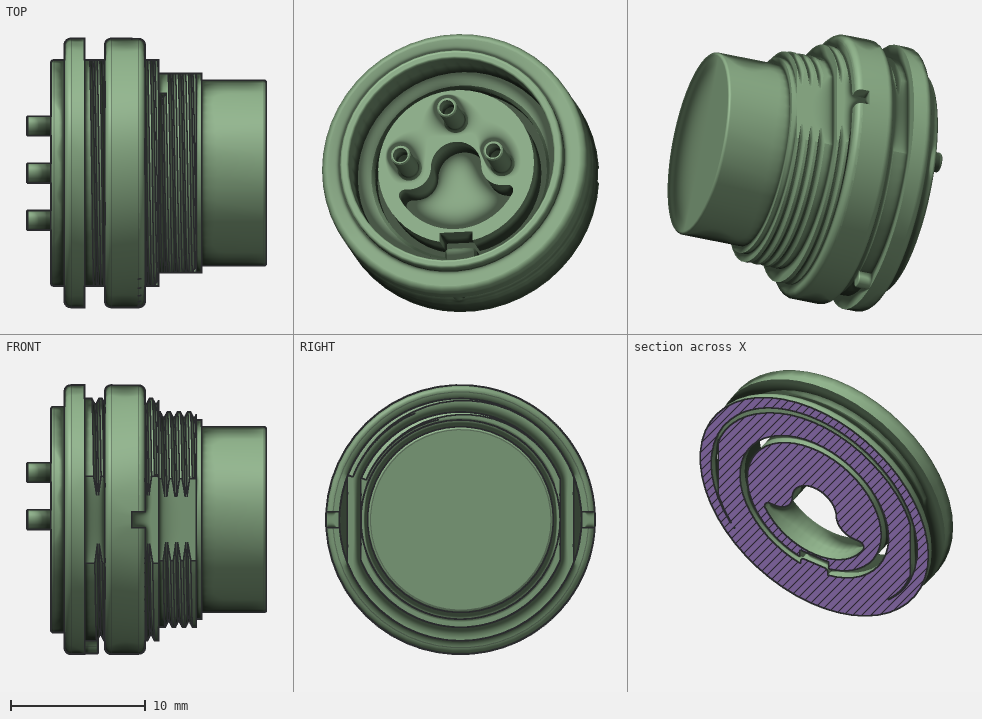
import cadquery as cq
import math

REAR_FACE = 1.8
FLANGE_BACK = 2.8
FLANGE_FRONT = 4.3
NUT_BACK = 5.8
NUT_FRONT = 8.8
BIG_THREAD_END = 9.8
SMALL_THREAD_END = 12.6
COLLAR_END = 13.0
FRONT_FACE = 17.8

REAR_RING_DIA = 16.8
FLANGE_DIA = 20.0
BIG_THREAD_DIA = 18.0
SMALL_THREAD_DIA = 16.0
COLLAR_DIA = 14.8
PLUG_DIA = 13.8
FLANGE_ROUND = 0.5
RIM_ROUND = 0.2
BIG_FLAT_WIDTH = REAR_RING_DIA
SMALL_FLAT_WIDTH = COLLAR_DIA

PITCH = 0.75
THREAD_DEPTH = 0.4
GROOVE_MOUTH = 0.55
GROOVE_ROOT = 0.15
GROOVE_OVERCUT = 0.1
THREAD_RUN_OUT = 1.2
BIG_GROOVE_START = 4.92
BIG_GROOVE_START_ANGLE = 0.0
BIG_GROOVE_TURNS = 6.44
SMALL_GROOVE_START = 10.08
SMALL_GROOVE_START_ANGLE = 42.0
SMALL_GROOVE_TURNS = 3.32

SLOT_WIDTH = 1.2
SLOT_LENGTH = 1.0
LUG_WIDTH = 1.08
LUG_LENGTH = 1.0
LUG_TIP = FLANGE_DIA / 2 - 0.05
LUG_ROUND = 0.1

BORE_DIA = 15.5
BORE_FLOOR = 5.75
BORE_ROUND = 0.15
GAP_DIA = 12.95
GAP_FLOOR = 7.0
GAP_CHAMFER = 0.25

INSERT_DIA = 11.75
INSERT_FACE = 3.9
NOTCH_WIDTH = 2.48
NOTCH_TOP = 5.05
POCKET_FLOOR = 7.0
POCKET_RADIUS = 4.82
POCKET_CORNER = 0.45

KEY_WIDTH = 2.4
KEY_TOP = 5.75
KEY_ROUND = 0.35
KEY_CHAMFER = 0.18

PIN_DIA = 1.48
PIN_CIRCLE_RADIUS = 3.5
PIN_TIP_CHAMFER = 0.1
PIN_FOOT_DIA = 1.85
PIN_FOOT_LENGTH = 0.2
PIN_HOLE_DIA = 1.1
PIN_HOLE_DEPTH = 2.0
DRILL_POINT_ANGLE = 118.0
PIN_CENTERS = [(PIN_CIRCLE_RADIUS, 0), (0, PIN_CIRCLE_RADIUS), (-PIN_CIRCLE_RADIUS, 0)]

PIN_WALL_RADIUS = 1.6
ARCH_RADIUS = PIN_CIRCLE_RADIUS - PIN_WALL_RADIUS


def section(x):
    """Workplane across the axis at station x, with local axes Y and Z."""
    return cq.Workplane("YZ", origin=(x, 0, 0))


def cylinder(start, end, diameter):
    return section(start).circle(diameter / 2).extrude(end - start)


def thread_groove(diameter, start, start_angle, turns):
    """Right-handed helical groove cutter, trapezoid in profile, around the X axis."""
    root_radius = diameter / 2 - THREAD_DEPTH
    outer_radius = diameter / 2 + GROOVE_OVERCUT
    flare = (GROOVE_MOUTH - GROOVE_ROOT) / 2 / THREAD_DEPTH
    outer_half = GROOVE_MOUTH / 2 + flare * GROOVE_OVERCUT
    root_half = GROOVE_ROOT / 2
    path = cq.Workplane(obj=cq.Wire.makeHelix(PITCH, PITCH * turns, root_radius))
    groove = (
        cq.Workplane("XZ")
        .polyline([
            (root_radius, -root_half),
            (outer_radius, -outer_half),
            (outer_radius, outer_half),
            (root_radius, root_half),
        ])
        .close()
        .sweep(path, isFrenet=True)
    )
    along_x = groove.rotate((0, 0, 0), (1, 1, 1), 120)
    return along_x.rotate((0, 0, 0), (1, 0, 0), start_angle).translate((start, 0, 0))


def threaded_section(start, end, diameter, flat_width, groove):
    """Grooved cylinder, trimmed where the groove runs out and flatted on both Y sides."""
    blank = cylinder(start, end + THREAD_RUN_OUT, diameter)
    flats = section(start).rect(flat_width, diameter).extrude(end - start)
    return blank.cut(groove).intersect(flats)


def rear_ring():
    return cylinder(REAR_FACE, FLANGE_BACK, REAR_RING_DIA).faces("<X").edges().fillet(RIM_ROUND)


def flange():
    return cylinder(FLANGE_BACK, FLANGE_FRONT, FLANGE_DIA).faces("<X").edges().fillet(FLANGE_ROUND)


def plug():
    return cylinder(COLLAR_END, FRONT_FACE, PLUG_DIA).faces(">X").edges().fillet(RIM_ROUND)


def nut():
    """Rounded ring with a spanner slot on each Y side of its front face."""
    ring = cylinder(NUT_BACK, NUT_FRONT, FLANGE_DIA).edges().fillet(FLANGE_ROUND)
    hole = cylinder(NUT_BACK, NUT_FRONT, BIG_THREAD_DIA)
    slots = section(NUT_FRONT - SLOT_LENGTH).rect(FLANGE_DIA, SLOT_WIDTH).extrude(SLOT_LENGTH)
    return ring.cut(hole).cut(slots)


def lug():
    """Round-ended lug below the thread, against the flange."""
    half = LUG_WIDTH / 2
    foot = BIG_THREAD_DIA / 2 - THREAD_DEPTH - half
    return (
        section(FLANGE_FRONT)
        .moveTo(-half, -foot)
        .lineTo(-half, half - LUG_TIP)
        .threePointArc((0, -LUG_TIP), (half, half - LUG_TIP))
        .lineTo(half, -foot)
        .close()
        .extrude(LUG_LENGTH)
        .faces(">X").edges("not(>Z)").fillet(LUG_ROUND)
    )


def rear_cavity():
    bore = cylinder(REAR_FACE, BORE_FLOOR, BORE_DIA)
    gap = cylinder(BORE_FLOOR, GAP_FLOOR, GAP_DIA)
    gap_mouth = (
        cylinder(BORE_FLOOR, BORE_FLOOR + GAP_CHAMFER, GAP_DIA + 2 * GAP_CHAMFER)
        .faces(">X").chamfer(GAP_CHAMFER - 0.002)
    )
    return bore.union(gap).union(gap_mouth)


def shell_key():
    bottom = GAP_DIA / 2 + GAP_CHAMFER
    height = bottom - KEY_TOP
    return (
        section(BORE_FLOOR)
        .center(0, -(bottom + KEY_TOP) / 2)
        .rect(KEY_WIDTH, height)
        .extrude(GAP_FLOOR - BORE_FLOOR)
        .edges("|X and >Z").fillet(KEY_ROUND)
        .faces("<X").edges("not(<Z)").chamfer(KEY_CHAMFER)
    )


def pocket():
    """Pocket bounded by an arch, the walls around two pins and a large lower arc."""
    corner_z = -PIN_WALL_RADIUS - POCKET_CORNER
    corner_y = math.sqrt((POCKET_RADIUS - POCKET_CORNER) ** 2 - corner_z ** 2)
    reach = POCKET_RADIUS / (POCKET_RADIUS - POCKET_CORNER)
    rim_y = corner_y * reach
    rim_z = corner_z * reach
    diagonal = math.sqrt(0.5)
    wall_y = PIN_CIRCLE_RADIUS - PIN_WALL_RADIUS * diagonal
    wall_z = -PIN_WALL_RADIUS * diagonal
    nose_y = corner_y + POCKET_CORNER * diagonal
    nose_z = corner_z + POCKET_CORNER * diagonal
    return (
        section(INSERT_FACE)
        .moveTo(-ARCH_RADIUS, 0)
        .threePointArc((0, ARCH_RADIUS), (ARCH_RADIUS, 0))
        .threePointArc((wall_y, wall_z), (PIN_CIRCLE_RADIUS, -PIN_WALL_RADIUS))
        .lineTo(corner_y, -PIN_WALL_RADIUS)
        .threePointArc((nose_y, nose_z), (rim_y, rim_z))
        .threePointArc((0, -POCKET_RADIUS), (-rim_y, rim_z))
        .threePointArc((-nose_y, nose_z), (-corner_y, -PIN_WALL_RADIUS))
        .lineTo(-PIN_CIRCLE_RADIUS, -PIN_WALL_RADIUS)
        .threePointArc((-wall_y, wall_z), (-ARCH_RADIUS, 0))
        .close()
        .extrude(POCKET_FLOOR - INSERT_FACE)
    )


def insert():
    notch_height = INSERT_DIA / 2 - NOTCH_TOP
    notch = (
        section(INSERT_FACE)
        .center(0, -NOTCH_TOP - notch_height / 2)
        .rect(NOTCH_WIDTH, notch_height)
        .extrude(GAP_FLOOR - INSERT_FACE)
    )
    return cylinder(INSERT_FACE, GAP_FLOOR, INSERT_DIA).cut(notch).cut(pocket())


def solder_pin():
    """Pin on the X axis: chamfered tip, flared foot and a drilled solder cup."""
    radius = PIN_DIA / 2
    cup_radius = PIN_HOLE_DIA / 2
    cup_end = PIN_HOLE_DEPTH + cup_radius / math.tan(math.radians(DRILL_POINT_ANGLE / 2))
    return (
        cq.Workplane("XY")
        .polyline([
            (0, cup_radius),
            (0, radius - PIN_TIP_CHAMFER),
            (PIN_TIP_CHAMFER, radius),
            (INSERT_FACE - PIN_FOOT_LENGTH, radius),
            (INSERT_FACE, PIN_FOOT_DIA / 2),
            (INSERT_FACE, 0),
            (cup_end, 0),
            (PIN_HOLE_DEPTH, cup_radius),
        ])
        .close()
        .revolve(360, (0, 0, 0), (1, 0, 0))
    )


big_groove = thread_groove(
    BIG_THREAD_DIA, BIG_GROOVE_START, BIG_GROOVE_START_ANGLE, BIG_GROOVE_TURNS
)
small_groove = thread_groove(
    SMALL_THREAD_DIA, SMALL_GROOVE_START, SMALL_GROOVE_START_ANGLE, SMALL_GROOVE_TURNS
)
big_thread = threaded_section(
    FLANGE_FRONT, BIG_THREAD_END, BIG_THREAD_DIA, BIG_FLAT_WIDTH, big_groove
)
small_thread = threaded_section(
    BIG_THREAD_END, SMALL_THREAD_END, SMALL_THREAD_DIA, SMALL_FLAT_WIDTH, small_groove
)
collar = cylinder(SMALL_THREAD_END, COLLAR_END, COLLAR_DIA)

result = rear_ring()
for outer_part in (flange(), big_thread, small_thread, collar, plug(), nut(), lug()):
    result = result.union(outer_part)

result = result.cut(rear_cavity())
result = result.faces("<X").edges("%CIRCLE").edges(cq.selectors.RadiusNthSelector(0)).fillet(BORE_ROUND)
result = result.union(shell_key()).union(insert())
for pin_y, pin_z in PIN_CENTERS:
    result = result.union(solder_pin().translate((0, pin_y, pin_z)))